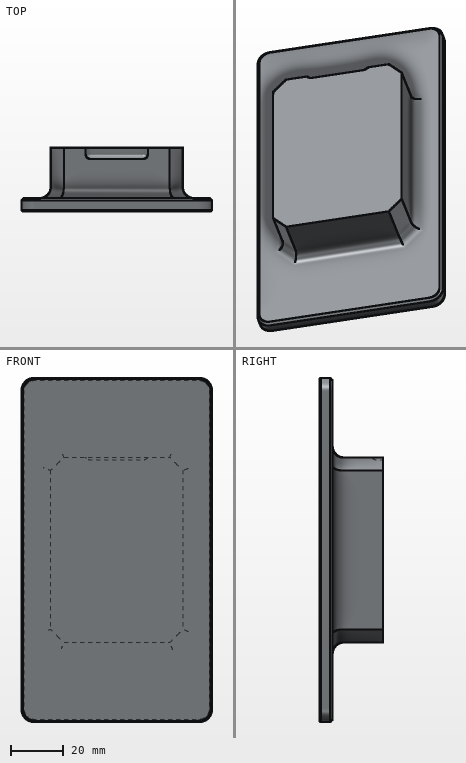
import cadquery as cq

PLATE_WIDTH = 72.0
PLATE_HEIGHT = 130.0
PLATE_THICKNESS = 5.0
PLATE_CORNER_RADIUS = 5.0
PLATE_FRONT_CHAMFER = 0.5
PLATE_BACK_CHAMFER = 1.0

TOTAL_DEPTH = 24.0
BLOCK_DEPTH = TOTAL_DEPTH - PLATE_THICKNESS
BLOCK_WIDTH = 50.0
BLOCK_HEIGHT = 70.0
BLOCK_CHAMFER = 5.0
BLOCK_BASE_FILLET = 4.0
SELECTION_MARGIN = 0.1

RECESS_WIDTH = 24.0
RECESS_LENGTH = 4.5
RECESS_ROUND_RADIUS = 2.0
RECESS_DEPTH = 1.0


def make_plate():
    """Rounded plate with chamfered front and back rims."""
    plate = (
        cq.Workplane("XY")
        .box(PLATE_WIDTH, PLATE_THICKNESS, PLATE_HEIGHT, centered=(True, False, True))
        .edges("|Y")
        .fillet(PLATE_CORNER_RADIUS)
    )
    plate = plate.faces("<Y").edges().chamfer(PLATE_FRONT_CHAMFER)
    return plate.faces(">Y").edges().chamfer(PLATE_BACK_CHAMFER)


def make_block():
    """Block with chamfered corners, standing on the back face of the plate."""
    return (
        cq.Workplane("XY")
        .box(BLOCK_WIDTH, BLOCK_DEPTH, BLOCK_HEIGHT, centered=(True, False, True))
        .edges("|Y")
        .chamfer(BLOCK_CHAMFER)
        .translate((0, PLATE_THICKNESS, 0))
    )


def fillet_block_base(body):
    """Blend the block into the back face of the plate."""
    half_width = BLOCK_WIDTH / 2 + SELECTION_MARGIN
    half_height = BLOCK_HEIGHT / 2 + SELECTION_MARGIN
    base_edges = cq.selectors.BoxSelector(
        (-half_width, PLATE_THICKNESS - SELECTION_MARGIN, -half_height),
        (half_width, PLATE_THICKNESS + SELECTION_MARGIN, half_height),
        boundingbox=True,
    )
    return body.edges(base_edges).fillet(BLOCK_BASE_FILLET)


def make_recess_cutter():
    """Round-edged cutter that runs out past the block's top and back faces."""
    overrun = 2 * RECESS_ROUND_RADIUS
    return (
        cq.Workplane("XY")
        .box(
            RECESS_WIDTH,
            RECESS_LENGTH + overrun,
            RECESS_DEPTH + overrun,
            centered=(True, False, False),
        )
        .edges()
        .fillet(RECESS_ROUND_RADIUS)
        .translate((0, TOTAL_DEPTH - RECESS_LENGTH, BLOCK_HEIGHT / 2 - RECESS_DEPTH))
    )


body = fillet_block_base(make_plate().union(make_block()))
result = body.cut(make_recess_cutter())